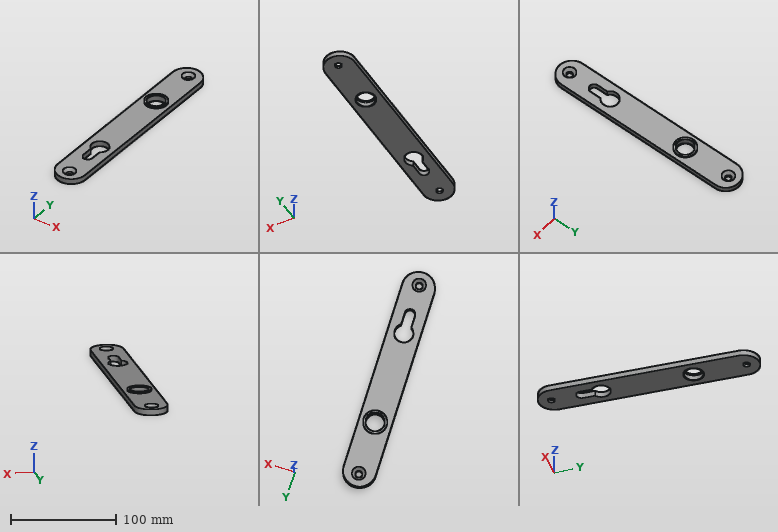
import cadquery as cq

plate_length = 220.0
plate_width = 32.0
plate_thickness = 6.0

screw_offset = 97.0
screw_hole_diameter = 6.5
countersink_diameter = 13.0
countersink_angle = 90.0

bushing_y = 44.5
bushing_bore_diameter = 18.3
bushing_shank_diameter = 20.0
bushing_flange_diameter = 23.0
bushing_flange_thickness = 1.3

handle_to_key_distance = 92.0
key_y = bushing_y - handle_to_key_distance
key_diameter = 18.3
key_slot_width = 10.1
key_slot_reach = 24.6


def make_plate():
    """Rounded bar with the bushing hole, the keyhole and the screw holes."""
    plate = cq.Workplane("XY").slot2D(plate_length, plate_width, 90).extrude(plate_thickness)
    plate = plate.cut(make_bushing_hole())
    plate = plate.cut(make_keyhole())
    return (
        plate.faces(">Z")
        .workplane(origin=(0, 0, plate_thickness))
        .pushPoints([(0, -screw_offset), (0, screw_offset)])
        .cskHole(screw_hole_diameter, countersink_diameter, countersink_angle)
    )


def make_bushing_hole():
    """Cylinder removed from the plate to seat the bushing shank."""
    return (
        cq.Workplane("XY")
        .center(0, bushing_y)
        .circle(bushing_shank_diameter / 2)
        .extrude(plate_thickness)
    )


def make_keyhole():
    """Keyhole-shaped prism removed from the plate."""
    round_opening = cq.Workplane("XY").center(0, key_y).circle(key_diameter / 2).extrude(plate_thickness)
    slot_length = key_slot_reach + key_slot_width / 2
    slot_center_y = key_y + key_slot_width / 2 - slot_length / 2
    slot = (
        cq.Workplane("XY")
        .center(0, slot_center_y)
        .slot2D(slot_length, key_slot_width, 90)
        .extrude(plate_thickness)
    )
    return round_opening.union(slot)


def make_bushing():
    """Shank flush with the plate's underside, with a thin flange resting on its top."""
    shank = make_bushing_hole()
    flange = (
        cq.Workplane("XY", origin=(0, bushing_y, plate_thickness))
        .circle(bushing_flange_diameter / 2)
        .extrude(bushing_flange_thickness)
    )
    bore = (
        cq.Workplane("XY", origin=(0, bushing_y, 0))
        .circle(bushing_bore_diameter / 2)
        .extrude(plate_thickness + bushing_flange_thickness)
    )
    return shank.union(flange).cut(bore)


plate = make_plate()
bushing = make_bushing()

result = cq.Compound.makeCompound([plate.val(), bushing.val()])